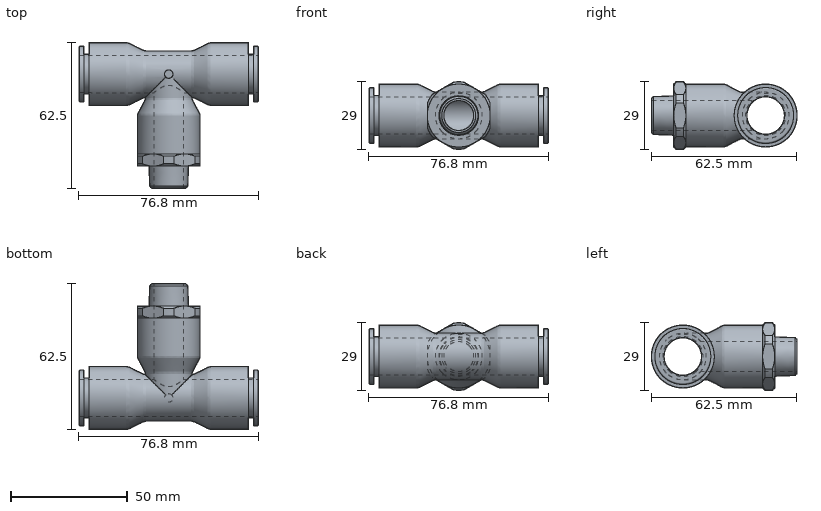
import cadquery as cq


neck_radius = 10.0
body_radius = 13.5

tube_arm_shoulder_start = 10.4
tube_arm_shoulder_end = 17.4
tube_arm_blend = 3.0
tube_body_end = 34.1
collet_end = 38.4
flange_thickness = 2.05
flange_radius = 12.0
flange_outer_fillet = 0.6
flange_inner_fillet = 0.4
collet_radius = 8.6
tube_bore_radius = 8.0

stud_arm_shoulder_start = 10.75
stud_arm_shoulder_end = 17.4
stud_arm_blend = 2.0
hex_start = 34.2
hex_end = 39.4
hex_across_flats = 2 * body_radius
hex_rim_radius = 14.5
hex_bevel_length = 1.0
stud_end = 49.0
stud_bore_radius = 6.4

thread_taper = 1 / 32
gauge_position = 44.4
gauge_radius = 8.33
thread_tip_bevel = 0.95

recess_radius = 1.8
recess_depth = 0.5


def turned(profile):
    """Revolve (radius, position) points about local Z."""
    return cq.Workplane("XZ").polyline(profile).close().revolve(360, (0, 0), (0, 1))


def arm_body(shoulder_start, shoulder_end, body_end, blend):
    """Neck, conical shoulder with rounded corners, and cylindrical body."""
    body = turned([
        (0, 0),
        (neck_radius, 0),
        (neck_radius, shoulder_start),
        (body_radius, shoulder_end),
        (body_radius, body_end),
        (0, body_end),
    ])
    margin = 0.1
    shoulder_circles = cq.selectors.BoxSelector(
        (-margin, -margin, shoulder_start - margin),
        (margin, margin, shoulder_end + margin),
    )
    return body.edges(shoulder_circles).fillet(blend)


def collet():
    """Release collet: a short sleeve carrying a rounded flange."""
    flange_start = collet_end - flange_thickness
    sleeve = (
        cq.Workplane("XY")
        .workplane(offset=tube_body_end)
        .circle(collet_radius)
        .extrude(flange_start - tube_body_end)
    )
    flange = (
        cq.Workplane("XY")
        .workplane(offset=flange_start)
        .circle(flange_radius)
        .extrude(flange_thickness)
        .faces(">Z").edges().fillet(flange_outer_fillet)
        .faces("<Z").edges().fillet(flange_inner_fillet)
    )
    return sleeve.union(flange)


def tube_arm():
    body = arm_body(tube_arm_shoulder_start, tube_arm_shoulder_end, tube_body_end, tube_arm_blend)
    return body.union(collet())


def hexagon():
    """Hexagon with flats facing local +X and -X, its corners trimmed by a bevelled rim."""
    prism = (
        cq.Workplane("XY")
        .workplane(offset=hex_start)
        .polygon(6, hex_across_flats, circumscribed=True)
        .extrude(hex_end - hex_start)
    )
    rim = turned([
        (0, hex_start),
        (body_radius, hex_start),
        (hex_rim_radius, hex_start + hex_bevel_length),
        (hex_rim_radius, hex_end - hex_bevel_length),
        (body_radius, hex_end),
        (0, hex_end),
    ])
    return prism.intersect(rim)


def thread_radius(position):
    return gauge_radius + thread_taper * (gauge_position - position)


def threaded_stud():
    """Plain tapered envelope of the thread with a bevelled tip."""
    bevel_start = stud_end - thread_tip_bevel
    return turned([
        (0, hex_end),
        (thread_radius(hex_end), hex_end),
        (thread_radius(gauge_position), gauge_position),
        (thread_radius(bevel_start), bevel_start),
        (thread_radius(bevel_start) - thread_tip_bevel, stud_end),
        (0, stud_end),
    ])


def stud_arm():
    body = arm_body(stud_arm_shoulder_start, stud_arm_shoulder_end, hex_start, stud_arm_blend)
    return body.union(hexagon()).union(threaded_stud())


def bores():
    """Through bore along X, met by the stud bore coming in from -Y."""
    tube_bore = (
        cq.Workplane("YZ")
        .circle(tube_bore_radius)
        .extrude(collet_end, both=True)
    )
    stud_bore = (
        cq.Workplane("XZ")
        .circle(stud_bore_radius)
        .extrude(stud_end)
    )
    return tube_bore.union(stud_bore)


def recess():
    return (
        cq.Workplane("XY")
        .workplane(offset=neck_radius - recess_depth)
        .circle(recess_radius)
        .extrude(2 * recess_depth)
    )


origin = (0, 0, 0)
result = stud_arm().rotate(origin, (1, 0, 0), 90)
for swing in (90, -90):
    result = result.union(tube_arm().rotate(origin, (0, 1, 0), swing))
result = result.cut(bores()).cut(recess())